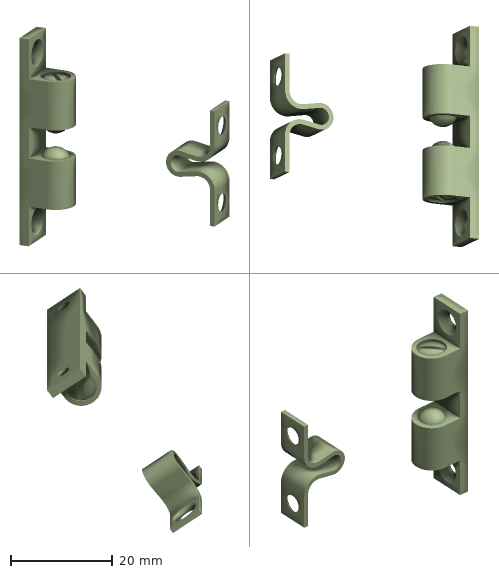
import cadquery as cq
import math

SIDES = (1, -1)

plate_height = 43.0
plate_width = 8.0
plate_thickness = 2.0
plate_hole_diameter = 2.8
plate_hole_inset = 4.0
plate_sink_diameter = 5.6

barrel_length = 10.0
barrel_gap = 6.5
barrel_radius = plate_width / 2
barrel_axis_x = 6.0
barrel_inner_z = barrel_gap / 2
barrel_outer_z = barrel_inner_z + barrel_length

bore_radius = 3.0
ball_radius = bore_radius
ball_protrusion = 1.75
ball_centre_z = barrel_inner_z - ball_protrusion + ball_radius
screw_length = 3.0
screw_dome_height = 0.5
screw_rim_recess = 0.5
slot_width = 1.0
slot_depth = 0.5
slot_angle = -45.0

strike_height = 24.0
strike_width = 7.0
strike_thickness = 1.0
strike_back_x = 42.23
bend_outer_radius = 3.5
bend_inner_radius = bend_outer_radius - strike_thickness
bend_centre = (strike_back_x - bend_outer_radius, 4.5)
loop_outer_radius = 2.7
loop_inner_radius = loop_outer_radius - strike_thickness
loop_centre = (34.35, 0.0)
strike_hole_diameter = 3.6
strike_sink_diameter = strike_hole_diameter + 2 * strike_thickness
strike_hole_inset = 4.0


def cone_along_x(start_x, z, start_radius, end_radius, length):
    return cq.Solid.makeCone(
        start_radius, end_radius, length, cq.Vector(start_x, 0, z), cq.Vector(1, 0, 0)
    )


def upright_cylinder(radius, bottom_z, top_z):
    """Cylinder on the barrel axis."""
    return (
        cq.Workplane("XY", origin=(barrel_axis_x, 0, bottom_z)).circle(radius).extrude(top_z - bottom_z)
    )


def for_side(body, side):
    """Turn an upper-half body end over end about the barrel axis for the lower half."""
    if side > 0:
        return body
    return body.rotate((0, 0, 0), (1, 0, 0), 180)


def make_ball():
    return cq.Workplane("XY", origin=(barrel_axis_x, 0, ball_centre_z)).sphere(ball_radius)


def make_barrel():
    """D-shaped barrel, overlapping the plate so that both join."""
    return (
        cq.Workplane("XY", origin=(0, 0, barrel_inner_z))
        .moveTo(0, -barrel_radius)
        .lineTo(barrel_axis_x, -barrel_radius)
        .threePointArc((barrel_axis_x + barrel_radius, 0), (barrel_axis_x, barrel_radius))
        .lineTo(0, barrel_radius)
        .close()
        .extrude(barrel_length)
    )


def make_housing():
    housing = cq.Workplane("XY").box(
        plate_thickness, plate_width, plate_height, centered=(False, True, True)
    )
    sink_depth = (plate_sink_diameter - plate_hole_diameter) / 2
    hole_radius = plate_hole_diameter / 2
    for side in SIDES:
        housing = housing.union(for_side(make_barrel(), side))
        bore = upright_cylinder(bore_radius, ball_centre_z, barrel_outer_z)
        housing = housing.cut(for_side(bore, side)).cut(for_side(make_ball(), side))
        hole_z = side * (plate_height / 2 - plate_hole_inset)
        housing = housing.cut(cone_along_x(
            plate_thickness - sink_depth, hole_z, hole_radius, plate_sink_diameter / 2, sink_depth
        ))
        hole = (
            cq.Workplane("YZ", origin=(0, 0, hole_z)).circle(hole_radius).extrude(plate_thickness)
        )
        housing = housing.cut(hole)
    return housing


def make_screw():
    """Domed plug with a straight driver slot."""
    rim_z = barrel_outer_z - screw_rim_recess
    top_z = rim_z + screw_dome_height
    dome_radius = (bore_radius**2 + screw_dome_height**2) / (2 * screw_dome_height)
    dome = cq.Workplane("XY", origin=(barrel_axis_x, 0, top_z - dome_radius)).sphere(dome_radius)
    screw = upright_cylinder(bore_radius, rim_z - screw_length, top_z).intersect(dome)
    slot = (
        cq.Workplane("XY", origin=(barrel_axis_x, 0, top_z - slot_depth))
        .transformed(rotate=(0, 0, slot_angle))
        .rect(2 * bore_radius, slot_width)
        .extrude(slot_depth)
    )
    return screw.cut(slot)


def polar(centre, radius, angle):
    return (centre[0] + radius * math.cos(angle), centre[1] + radius * math.sin(angle))


def mirrored(point):
    return (point[0], -point[1])


def make_strike():
    """Strip of even thickness: end loop, two sloping necks, two bends and two flat ends."""
    centre_dx = bend_centre[0] - loop_centre[0]
    centre_dz = bend_centre[1] - loop_centre[1]
    normal_angle = math.atan2(centre_dz, centre_dx) + math.acos(
        (loop_outer_radius + bend_inner_radius) / math.hypot(centre_dx, centre_dz)
    )
    bend_start = normal_angle - math.pi
    bend_middle = bend_start / 2
    top_z = strike_height / 2

    def face_points(bend_radius, loop_radius):
        """Points of one strip face, from the top end down to the tip of the loop."""
        return {
            "end": (bend_centre[0] + bend_radius, top_z),
            "bend_end": polar(bend_centre, bend_radius, 0),
            "bend_middle": polar(bend_centre, bend_radius, bend_middle),
            "bend_start": polar(bend_centre, bend_radius, bend_start),
            "loop_start": polar(loop_centre, loop_radius, normal_angle),
            "loop_tip": polar(loop_centre, loop_radius, math.pi),
        }

    front = face_points(bend_inner_radius, loop_outer_radius)
    back = face_points(bend_outer_radius, loop_inner_radius)
    strike = (
        cq.Workplane("XZ")
        .moveTo(*front["end"])
        .lineTo(*front["bend_end"])
        .threePointArc(front["bend_middle"], front["bend_start"])
        .lineTo(*front["loop_start"])
        .threePointArc(front["loop_tip"], mirrored(front["loop_start"]))
        .lineTo(*mirrored(front["bend_start"]))
        .threePointArc(mirrored(front["bend_middle"]), mirrored(front["bend_end"]))
        .lineTo(*mirrored(front["end"]))
        .lineTo(*mirrored(back["end"]))
        .lineTo(*mirrored(back["bend_end"]))
        .threePointArc(mirrored(back["bend_middle"]), mirrored(back["bend_start"]))
        .lineTo(*mirrored(back["loop_start"]))
        .threePointArc(back["loop_tip"], back["loop_start"])
        .lineTo(*back["bend_start"])
        .threePointArc(back["bend_middle"], back["bend_end"])
        .lineTo(*back["end"])
        .close()
        .extrude(strike_width / 2, both=True)
    )
    for side in SIDES:
        hole_z = side * (strike_height / 2 - strike_hole_inset)
        strike = strike.cut(cone_along_x(
            strike_back_x - strike_thickness, hole_z,
            strike_sink_diameter / 2, strike_hole_diameter / 2, strike_thickness,
        ))
    return strike


housing = make_housing()
strike = make_strike()
balls = [for_side(make_ball(), side) for side in SIDES]
screws = [for_side(make_screw(), side) for side in SIDES]

result = cq.Compound.makeCompound(
    [housing.val(), strike.val()] + [body.val() for body in balls + screws]
)